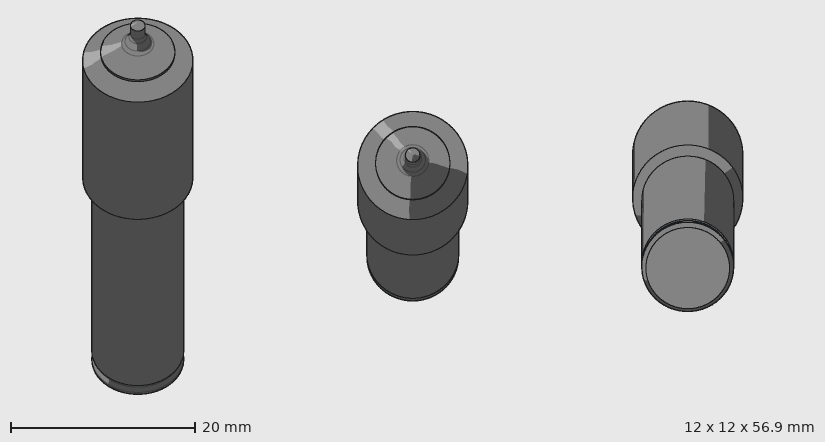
import cadquery as cq
import math

total_length = 56.9
body_diameter = 12.0
body_radius = body_diameter / 2
shank_radius = 5.0
tip_radius = 0.8

foot_chamfer_width = 0.45
foot_chamfer_height = 0.5
rim_top = 0.85
groove_radius = 4.85
groove_flank_top = 1.55
groove_top = 2.0

body_bottom = 31.0
body_top = 50.65
shoulder_height = body_radius - shank_radius

shallow_angle = math.radians(30)
steep_angle = math.radians(60)
collar_radius = 4.05
tip_bottom = 55.1
neck_fillet = 1.15
neck_cone_bottom = 53.75
root_fillet = 1.0

collar_bottom = body_top + (body_radius - collar_radius) * math.tan(shallow_angle)
tip_shoulder = total_length - tip_radius * math.tan(shallow_angle)


def arc_point(center, radius, angle):
    """Point on a concave arc whose center lies outside the profile."""
    return (center[0] - radius * math.cos(angle), center[1] - radius * math.sin(angle))


neck_center = (tip_radius + neck_fillet, tip_bottom)
neck_arc_angle = math.pi / 2 - steep_angle
neck_arc_end = arc_point(neck_center, neck_fillet, neck_arc_angle)
neck_arc_middle = arc_point(neck_center, neck_fillet, neck_arc_angle / 2)

neck_cone_radius = neck_arc_end[0] + (neck_arc_end[1] - neck_cone_bottom) / math.tan(steep_angle)
root_start_angle = math.pi / 2 - steep_angle
root_end_angle = math.pi / 2 - shallow_angle
root_center = (
    neck_cone_radius + root_fillet * math.cos(root_start_angle),
    neck_cone_bottom + root_fillet * math.sin(root_start_angle),
)
root_arc_end = arc_point(root_center, root_fillet, root_end_angle)
root_arc_middle = arc_point(root_center, root_fillet, (root_start_angle + root_end_angle) / 2)
collar_top = root_arc_end[1] - (collar_radius - root_arc_end[0]) * math.tan(shallow_angle)

profile = (
    cq.Workplane("XZ")
    .moveTo(0, 0)
    .lineTo(shank_radius - foot_chamfer_width, 0)
    .lineTo(shank_radius, foot_chamfer_height)
    .lineTo(shank_radius, rim_top)
    .lineTo(groove_radius, groove_flank_top)
    .lineTo(groove_radius, groove_top)
    .lineTo(shank_radius, groove_top)
    .lineTo(shank_radius, body_bottom - shoulder_height)
    .lineTo(body_radius, body_bottom)
    .lineTo(body_radius, body_top)
    .lineTo(collar_radius, collar_bottom)
    .lineTo(collar_radius, collar_top)
    .lineTo(*root_arc_end)
    .threePointArc(root_arc_middle, (neck_cone_radius, neck_cone_bottom))
    .lineTo(*neck_arc_end)
    .threePointArc(neck_arc_middle, (tip_radius, tip_bottom))
    .lineTo(tip_radius, tip_shoulder)
    .lineTo(0, total_length)
    .close()
)

result = profile.revolve(360, (0, 0, 0), (0, 1, 0))